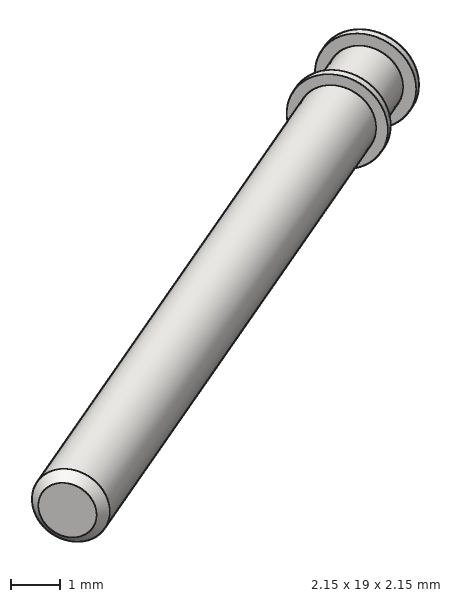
import cadquery as cq

total_length = 19.0
flange_diameter = 2.15
flange_thickness = 0.19
neck_diameter = 1.6
body_diameter = 1.65
tip_chamfer = 0.2

collar_length = 1.98

rear_y = total_length / 2
neck_length = collar_length - 2 * flange_thickness
body_length = total_length - collar_length


def cylinder_forward(diameter, length, start_y):
    """Cylinder on the Y axis running from start_y toward -Y."""
    return cq.Workplane("XZ", origin=(0, start_y, 0)).circle(diameter / 2).extrude(length)


neck_start = rear_y - flange_thickness
front_flange_start = neck_start - neck_length
rear_flange = cylinder_forward(flange_diameter, flange_thickness, rear_y)
neck = cylinder_forward(neck_diameter, neck_length, neck_start)
front_flange = cylinder_forward(flange_diameter, flange_thickness, front_flange_start)

body_start = rear_y - collar_length
body = cylinder_forward(body_diameter, body_length, body_start)
body = body.faces("<Y").chamfer(tip_chamfer)

result = rear_flange.union(neck).union(front_flange).union(body)